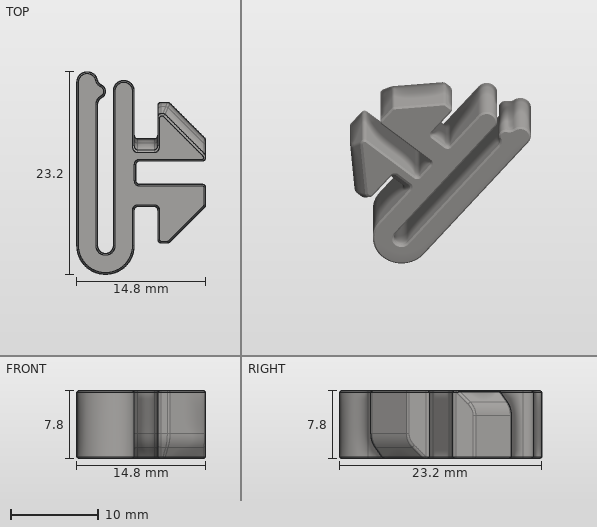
import cadquery as cq
import math

height = 7.8
length = 23.25
width = 14.8
edge_chamfer = 0.2

arm = 2.4
slot = 1.8
short_arm_drop = 1.0
clip_width = 2 * arm + slot
bend_radius = clip_width / 2
bend_y = -length / 2 + bend_radius
arm_end_radius = arm / 2
long_end_y = length / 2 - arm_end_radius
short_end_y = long_end_y - short_arm_drop

bump_radius = 0.8
bump_x = clip_width / 2 - bump_radius
bump_drop = 1.05
bump_y = long_end_y - bump_drop
bump_blend = 0.9

hook_y = 0.05
gap = 2.65
gap_step = 0.2
gap_x = clip_width + gap_step
neck_y = 3.9
flank_x = 9.3
tip_y = 8.08
tip_width = 1.28
tip_end_x = flank_x + tip_width
diagonal_end_y = tip_y - (width - tip_end_x)
corner_fillet = 0.4
blunt_fillet = 0.45

bevel_depth = 1.4
bevel_height = 2.0
bevel_blend = 2.75
margin = 2.0


def prism(sketch):
    """Full-height body of a closed outline on the middle plane."""
    return sketch.extrude(height / 2, both=True)


def upright_edge(body, x, y):
    """Edge running along Z that passes through (x, y) at mid height."""
    reach = 0.01
    low_corner = (x - reach, y - reach, -height)
    high_corner = (x + reach, y + reach, height)
    return body.edges(cq.selectors.BoxSelector(low_corner, high_corner))


def tangent_centre(x0, y0, r0, x1, y1, r1):
    """Point at distance r0 from (x0, y0) and r1 from (x1, y1), on the right of the line between them."""
    dx, dy = x1 - x0, y1 - y0
    span = math.hypot(dx, dy)
    along = (r0**2 - r1**2 + span**2) / (2 * span)
    across = math.sqrt(r0**2 - along**2)
    return (x0 + (along * dx + across * dy) / span, y0 + (along * dy - across * dx) / span)


def toward(x0, y0, x1, y1, distance):
    """Point at the given distance from (x0, y0) in the direction of (x1, y1)."""
    span = math.hypot(x1 - x0, y1 - y0)
    return (x0 + (x1 - x0) * distance / span, y0 + (y1 - y0) * distance / span)


def blend_middle(centre, start, end, radius):
    """Middle point of the short arc from start to end about the centre."""
    return toward(*centre, (start[0] + end[0]) / 2, (start[1] + end[1]) / 2, radius)


def make_clip():
    """U-shaped clip with the snap bump blended into the end and the wall of the long arm."""
    end_x = arm_end_radius
    upper_x, upper_y = tangent_centre(
        bump_x, bump_y, bump_radius + bump_blend, end_x, long_end_y, arm_end_radius + bump_blend
    )
    lower_x = arm + bump_blend
    lower_y = bump_y - math.sqrt((bump_radius + bump_blend) ** 2 - (lower_x - bump_x) ** 2)
    end_to_hollow = toward(end_x, long_end_y, upper_x, upper_y, arm_end_radius)
    hollow_to_bump = toward(bump_x, bump_y, upper_x, upper_y, bump_radius)
    hollow_middle = blend_middle((upper_x, upper_y), end_to_hollow, hollow_to_bump, bump_blend)
    bump_to_wall = toward(bump_x, bump_y, lower_x, lower_y, bump_radius)
    wall_middle = blend_middle((lower_x, lower_y), bump_to_wall, (arm, lower_y), bump_blend)
    outline = (
        cq.Workplane("XY")
        .moveTo(0, bend_y)
        .lineTo(0, long_end_y)
        .threePointArc((end_x, long_end_y + arm_end_radius), end_to_hollow)
        .threePointArc(hollow_middle, hollow_to_bump)
        .threePointArc((bump_x + bump_radius, bump_y), bump_to_wall)
        .threePointArc(wall_middle, (arm, lower_y))
        .lineTo(arm, bend_y)
        .threePointArc((bend_radius, bend_y - slot / 2), (arm + slot, bend_y))
        .lineTo(arm + slot, short_end_y)
        .threePointArc((arm + slot + arm_end_radius, short_end_y + arm_end_radius), (clip_width, short_end_y))
        .lineTo(clip_width, bend_y)
        .threePointArc((bend_radius, bend_y - bend_radius), (0, bend_y))
        .close()
    )
    return prism(outline)


def bevel_cutter(x, y, angle, span):
    """Cutter for the top bevel of an upright face that starts at (x, y) and runs at the given angle.

    The face looks to the left of its run direction.
    """
    slope = math.atan2(bevel_depth, bevel_height)
    tangent = bevel_blend * math.tan(slope / 2)
    foot = height / 2 - bevel_height
    arc_start = (0, foot - tangent)
    arc_end = (-tangent * math.sin(slope), foot + tangent * math.cos(slope))
    arc_middle = (
        -bevel_blend * (1 - math.cos(slope / 2)),
        foot - tangent + bevel_blend * math.sin(slope / 2),
    )
    outward = cq.Vector(-math.sin(angle), math.cos(angle), 0)
    plane = cq.Plane(origin=(x, y, 0), xDir=outward, normal=outward.cross(cq.Vector(0, 0, 1)))
    return (
        cq.Workplane(plane)
        .moveTo(*arc_start)
        .threePointArc(arc_middle, arc_end)
        .lineTo(-bevel_depth, height / 2)
        .lineTo(-bevel_depth, height)
        .lineTo(margin, height)
        .lineTo(margin, arc_start[1])
        .close()
        .extrude(span)
    )


def make_hook():
    """Hook on the +Y side, about the hook axis at Y = 0, bevelled at the top."""
    root_x = clip_width - arm / 2
    outline = (
        cq.Workplane("XY")
        .moveTo(root_x, 0)
        .lineTo(gap_x, 0)
        .lineTo(gap_x, gap / 2)
        .lineTo(width, gap / 2)
        .lineTo(width, diagonal_end_y)
        .lineTo(tip_end_x, tip_y)
        .lineTo(flank_x, tip_y)
        .lineTo(flank_x, neck_y)
        .lineTo(root_x, neck_y)
        .close()
    )
    hook = prism(outline)
    diagonal = math.hypot(width - tip_end_x, tip_y - diagonal_end_y)
    reach = margin / math.sqrt(2)
    hook = hook.cut(bevel_cutter(root_x, neck_y, 0, flank_x - root_x))
    hook = hook.cut(bevel_cutter(flank_x, tip_y, 0, tip_width + margin))
    hook = hook.cut(bevel_cutter(tip_end_x - reach, tip_y + reach, -math.pi / 4, diagonal + 2 * margin))
    for corner in [(tip_end_x, tip_y), (width, diagonal_end_y)]:
        hook = upright_edge(hook, *corner).fillet(blunt_fillet)
    for corner in [(flank_x, tip_y), (width, gap / 2)]:
        hook = upright_edge(hook, *corner).fillet(corner_fillet)
    return hook


def make_part():
    """Clip and hooks joined, inner corners rounded, top and bottom edges chamfered."""
    hook = make_hook()
    other_hook = hook.rotate((0, 0, 0), (1, 0, 0), 180)
    hook_pair = hook.union(other_hook).translate((0, hook_y, 0))
    body = make_clip().union(hook_pair)
    for side in (1, -1):
        for x, y in [(clip_width, neck_y), (flank_x, neck_y), (gap_x, gap / 2)]:
            body = upright_edge(body, x, hook_y + side * y).fillet(corner_fillet)
    body = body.faces(">Z").edges().chamfer(edge_chamfer)
    return body.faces("<Z").edges().chamfer(edge_chamfer)


result = make_part()